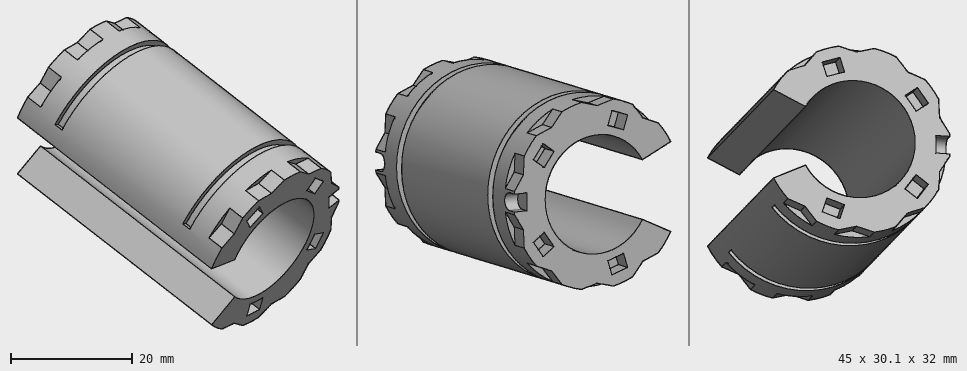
import cadquery as cq
import math

length = 45.0
outer_radius = 16.0
bore_radius = 10.0

opening_half_width_at_bore = 5.0
opening_half_angle = 25.0

groove_width = 1.6
groove_span = 31.2
groove_floor_radius = 15.0
groove_end_angle = 40.0

end_pitch = 36.0

notch_length = 3.0
notch_root_radius = 14.9
notch_half_angle = 10.9
notch_angles = [end_pitch * (i + 0.5) for i in range(1, 9)]

pocket_radial_size = 2.55
pocket_tangential_size = 3.17
pocket_center_radius = 12.7
pocket_depth = 3.0
pocket_angles = [end_pitch * i for i in (2, 4, 6, 8)]

keyway_width = 3.0
keyway_length = 3.0
keyway_floor_radius = 13.5

overshoot = 2.0


def cross_section(x):
    """Workplane across the sleeve at x: local x is +Y, local y is +Z, normal is +X."""
    return cq.Workplane("YZ", origin=(x, 0, 0))


def polar(radius, angle):
    """Point of the cross-section at a radius and an angle from -Y toward +Z."""
    radians = math.radians(angle)
    return (-radius * math.cos(radians), radius * math.sin(radians))


def at_both_ends(cutter):
    """Join a cutter at the -X end with its mirror image at the +X end."""
    return cutter.union(cutter.mirror("YZ", (length / 2, 0, 0)))


def make_sleeve():
    ring = cross_section(0).circle(outer_radius).circle(bore_radius).extrude(length)
    inner_y = -math.sqrt(bore_radius**2 - opening_half_width_at_bore**2)
    flare_slope = math.tan(math.radians(opening_half_angle))
    outer_y = -outer_radius - overshoot
    outer_half_width = opening_half_width_at_bore + (inner_y - outer_y) * flare_slope
    opening = (
        cross_section(0)
        .moveTo(inner_y, opening_half_width_at_bore)
        .lineTo(outer_y, outer_half_width)
        .lineTo(outer_y, -outer_half_width)
        .lineTo(inner_y, -opening_half_width_at_bore)
        .close()
        .extrude(length)
    )
    return ring.cut(opening)


def make_grooves():
    """Ring grooves that stop on radial walls on both sides of the opening."""
    start = (length - groove_span) / 2
    cutter_radius = outer_radius + overshoot
    groove = (
        cross_section(start)
        .moveTo(*polar(groove_floor_radius, groove_end_angle))
        .lineTo(*polar(cutter_radius, groove_end_angle))
        .threePointArc(polar(cutter_radius, 180), polar(cutter_radius, -groove_end_angle))
        .lineTo(*polar(groove_floor_radius, -groove_end_angle))
        .threePointArc(polar(groove_floor_radius, 180), polar(groove_floor_radius, groove_end_angle))
        .close()
        .extrude(groove_width)
    )
    return at_both_ends(groove)


def make_notch(angle):
    """V-notch whose flanks run from its root to the outer surface."""
    start_angle = angle - notch_half_angle
    end_angle = angle + notch_half_angle
    cutter_radius = outer_radius + overshoot
    notch = (
        cross_section(0)
        .moveTo(*polar(notch_root_radius, angle))
        .lineTo(*polar(outer_radius, start_angle))
        .lineTo(*polar(cutter_radius, start_angle))
        .lineTo(*polar(cutter_radius, end_angle))
        .lineTo(*polar(outer_radius, end_angle))
        .close()
        .extrude(notch_length)
    )
    return at_both_ends(notch)


def make_pocket(angle):
    pocket = (
        cross_section(0)
        .center(-pocket_center_radius, 0)
        .rect(pocket_radial_size, pocket_tangential_size)
        .extrude(pocket_depth)
        .rotate((0, 0, 0), (1, 0, 0), -angle)
    )
    return at_both_ends(pocket)


def make_keyways():
    end_radius = keyway_width / 2
    straight_length = keyway_length - end_radius
    height = outer_radius + overshoot - keyway_floor_radius
    keyway = (
        cq.Workplane("XZ", origin=(0, keyway_floor_radius, 0))
        .moveTo(0, end_radius)
        .lineTo(straight_length, end_radius)
        .threePointArc((keyway_length, 0), (straight_length, -end_radius))
        .lineTo(0, -end_radius)
        .close()
        .extrude(-height)
    )
    return at_both_ends(keyway)


result = make_sleeve().cut(make_grooves()).cut(make_keyways())
for notch_angle in notch_angles:
    result = result.cut(make_notch(notch_angle))
for pocket_angle in pocket_angles:
    result = result.cut(make_pocket(pocket_angle))
result = result.translate((-length / 2, 0, 0))